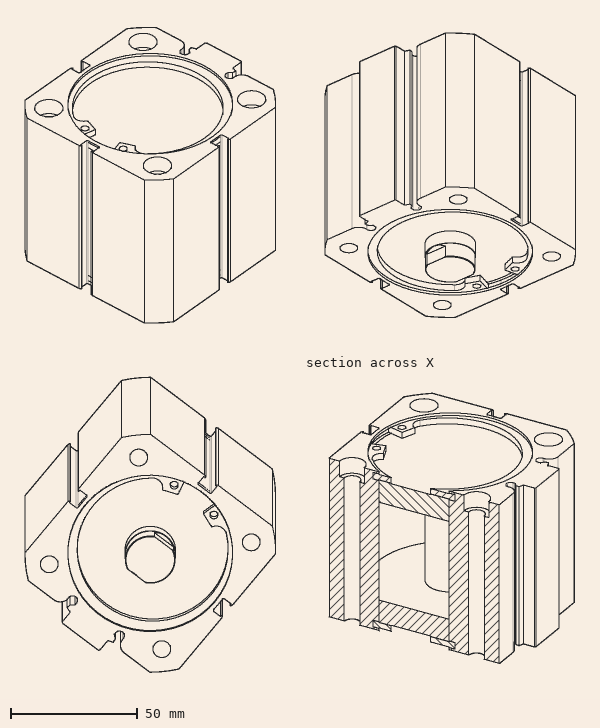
import cadquery as cq
import math


body_width = 77.5
body_height = 71.05
half_width = body_width / 2
corner_radius = 49.4
bore_radius = 32.45

bolt_pitch = 56.6
bolt_hole_diameter = 7.0
counterbore_diameter = 11.1
counterbore_depth = 7.0

slot_mouth_width = 5.15
slot_inner_width = 6.6
slot_depth = 4.65
slot_lip = 0.75
slot_flare_width = 6.8
slot_flare_depth = 0.3
slot_corner_radius = 0.5
slot_floor = half_width - slot_depth

rail_top = 83 - half_width
rail_half_width = 9.5
rail_edge_chamfer = 0.4
barb_tip = (11.6, 38.0)
barb_heel = (11.4, 36.4)
groove_radius = 1.9
groove_center_x = 11.8
groove_center_y = 34.3
groove_neck_y = 35.3
shoulder_radius = 4.0

ring_recess = 1.2
ring_thickness = 2.65
slot_floor_wall = 0.25
ring_radius = slot_floor - slot_floor_wall
ring_inner_radius = 29.7
ring_inner_offset = 1.5
ring_relief_angle = 39
relief_radius = 4.5
lug_radius = 26.4
lug_start_angle = 14
lug_end_angle = 28
lug_hole_radius = 1.6
lug_hole_center = (10.0, -27.7)

cover_thickness = 10
cover_recess = ring_recess + ring_thickness

rod_radius = 10.0
rod_reach = 8.0
collar_reach = 1.75
tip_radius = 9.8
tip_chamfer = 0.25
flats_width = 17.1


def below_axis(radius, angle):
    """Point at a radius from the bore axis and an angle from -Y toward +X."""
    turn = math.radians(angle)
    return (radius * math.sin(turn), -radius * math.cos(turn))


def cylinder(radius, bottom, top):
    return cq.Workplane("XY").workplane(offset=bottom).circle(radius).extrude(top - bottom)


def make_slot():
    """T-slot cutter for the -Y side."""
    mouth = cq.Workplane("XY").rect(slot_mouth_width, 2 * slot_lip).extrude(body_height)
    mouth = mouth.translate((0, -half_width, 0))
    inner_depth = slot_depth - slot_lip
    inner = (
        cq.Workplane("XY")
        .center(0, -slot_floor - inner_depth / 2)
        .rect(slot_inner_width, inner_depth)
        .extrude(body_height)
        .edges("|Z and >Y")
        .fillet(slot_corner_radius)
    )
    flare = (
        cq.Workplane("XY")
        .moveTo(-slot_flare_width / 2, -half_width)
        .lineTo(slot_flare_width / 2, -half_width)
        .lineTo(slot_mouth_width / 2, -half_width + slot_flare_depth)
        .lineTo(-slot_mouth_width / 2, -half_width + slot_flare_depth)
        .close()
        .extrude(body_height)
    )
    return mouth.union(inner).union(flare)


def make_flank_groove():
    """Cutter for the +X flank of the rail, from the rail side to the rounded housing shoulder."""
    groove_outer = groove_center_x + groove_radius
    groove_inner = groove_center_x - groove_radius
    shoulder_x = groove_outer + shoulder_radius
    shoulder_y = half_width - shoulder_radius
    diagonal = shoulder_radius * math.sqrt(0.5)
    return (
        cq.Workplane("XY")
        .moveTo(rail_half_width, half_width)
        .lineTo(*barb_tip)
        .lineTo(*barb_heel)
        .lineTo(groove_inner, groove_neck_y)
        .lineTo(groove_inner, groove_center_y)
        .threePointArc(
            (groove_center_x, groove_center_y - groove_radius),
            (groove_outer, groove_center_y),
        )
        .lineTo(groove_outer, shoulder_y)
        .threePointArc(
            (shoulder_x - diagonal, shoulder_y + diagonal),
            (shoulder_x, half_width),
        )
        .close()
        .extrude(body_height)
    )


def make_housing():
    block = cq.Workplane("XY").rect(body_width, body_width).extrude(body_height)
    block = block.intersect(cylinder(corner_radius, 0, body_height))

    rail = (
        cq.Workplane("XY")
        .center(0, rail_top / 2)
        .rect(2 * rail_half_width, rail_top)
        .extrude(body_height)
        .edges("|Z and >Y")
        .chamfer(rail_edge_chamfer)
    )
    block = block.union(rail)

    flank_groove = make_flank_groove()
    block = block.cut(flank_groove).cut(flank_groove.mirror("YZ"))

    slot = make_slot()
    for turn in (-90, 0, 90):
        block = block.cut(slot.rotate((0, 0, 0), (0, 0, 1), turn))

    block = (
        block.faces(">Z")
        .workplane(origin=(0, 0, body_height))
        .rect(bolt_pitch, bolt_pitch, forConstruction=True)
        .vertices()
        .cboreHole(bolt_hole_diameter, counterbore_diameter, counterbore_depth)
    )

    block = block.cut(cylinder(bore_radius, 0, body_height))
    for bottom in ring_bottoms:
        block = block.cut(cylinder(ring_radius, bottom, bottom + ring_thickness))
    return block


def mirrored(point):
    return (-point[0], point[1])


def make_ring(bottom):
    """Open retaining ring with two eyed lugs beside its gap."""
    inner_x, inner_y = below_axis(ring_inner_radius, ring_relief_angle)
    center_x, center_y = below_axis(ring_inner_radius - relief_radius, ring_relief_angle)
    relief_start = (inner_x, inner_y - ring_inner_offset)
    relief_bottom = (center_x, center_y - ring_inner_offset - relief_radius)
    lug_tip = below_axis(lug_radius, lug_end_angle)
    lug_corner = below_axis(lug_radius, lug_start_angle)
    gap_end = below_axis(ring_radius, lug_start_angle)
    ring = (
        cq.Workplane("XY")
        .workplane(offset=bottom)
        .moveTo(*mirrored(relief_start))
        .threePointArc((0, ring_inner_radius - ring_inner_offset), relief_start)
        .threePointArc(relief_bottom, lug_tip)
        .lineTo(*lug_corner)
        .lineTo(*gap_end)
        .threePointArc((0, ring_radius), mirrored(gap_end))
        .lineTo(*mirrored(lug_corner))
        .lineTo(*mirrored(lug_tip))
        .threePointArc(mirrored(relief_bottom), mirrored(relief_start))
        .close()
        .extrude(ring_thickness)
    )
    for eye_center in (lug_hole_center, mirrored(lug_hole_center)):
        eye = cylinder(lug_hole_radius, bottom, bottom + ring_thickness)
        ring = ring.cut(eye.translate((*eye_center, 0)))
    return ring


def make_head_cover():
    top = body_height - cover_recess
    return cylinder(bore_radius, top - cover_thickness, top)


def make_rod_cover():
    top = cover_recess + cover_thickness
    return cylinder(bore_radius, cover_recess, top).cut(cylinder(rod_radius, cover_recess, top))


def make_rod():
    """Rod up to the head cover, with a slimmer tip whose two flats run out at 45 degrees."""
    rod = cylinder(rod_radius, -collar_reach, body_height - cover_recess - cover_thickness)
    tip = cylinder(tip_radius, -rod_reach, -collar_reach).faces("<Z").chamfer(tip_chamfer)
    flat_y = flats_width / 2
    flat_depth = tip_radius - flat_y
    flat = (
        cq.Workplane("YZ")
        .moveTo(tip_radius, -collar_reach)
        .lineTo(flat_y, -collar_reach - flat_depth)
        .lineTo(flat_y, -rod_reach)
        .lineTo(tip_radius, -rod_reach)
        .close()
        .extrude(tip_radius, both=True)
    )
    return rod.union(tip.cut(flat).cut(flat.mirror("XZ")))


ring_bottoms = (ring_recess, body_height - ring_recess - ring_thickness)

housing = make_housing()
rings = [make_ring(bottom) for bottom in ring_bottoms]
head_cover = make_head_cover()
rod_cover = make_rod_cover()
rod = make_rod()

result = cq.Compound.makeCompound(
    [housing.val(), *[ring.val() for ring in rings], head_cover.val(), rod_cover.val(), rod.val()]
)